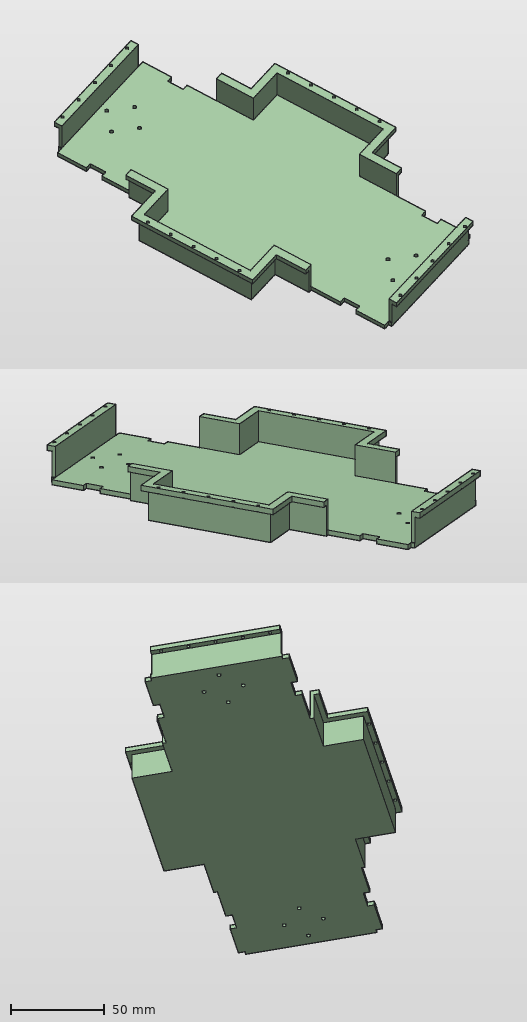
import cadquery as cq

length = 223.0
width = 132.6
height = 20.5

floor_thickness = 3.0
wall = 2.0
rim_overhang = 3.0
rim_thickness = 3.1
rim_width = wall + rim_overhang

inner_x = length / 2 - rim_width
inner_y = width / 2 - rim_width
bay_half = 34.5
body_half = 39.5
wing_end = 58.6
end_wall_half = 35.5
end_tab_half = 35.9

notch_center = 82.7
notch_length = 10.0
notch_depth = body_half - end_tab_half

rim_hole_diameter = 1.5
rim_hole_pitch = 15.0
rim_hole_count = 5
rim_hole_inset = 1.5

mount_hole_diameter = 2.0
mount_center = 91.6
mount_radius = 10.7


def block(x_size, y_size, z_size, bottom=0.0):
    """Box centred on the Z axis, standing on the given height."""
    return cq.Workplane("XY").workplane(offset=bottom).rect(x_size, y_size).extrude(z_size)


def bay_band(thickness, bottom):
    """Stepped strip of the given thickness around both bays and their wings."""
    bay_outer = block(2 * (bay_half + thickness), 2 * (inner_y + thickness), height - bottom, bottom)
    wing_outer = block(2 * wing_end, 2 * (body_half + thickness), height - bottom, bottom)
    bay_inner = block(2 * bay_half, 2 * inner_y, height - bottom, bottom)
    body_inner = block(2 * wing_end, 2 * body_half, height - bottom, bottom)
    return bay_outer.union(wing_outer).cut(bay_inner).cut(body_inner)


def end_bands(thickness, bottom):
    """Straight strips of the given thickness at both ends of the body."""
    outer = block(2 * (inner_x + thickness), 2 * end_wall_half, height - bottom, bottom)
    inner = block(2 * inner_x, 2 * end_wall_half, height - bottom, bottom)
    return outer.cut(inner)


def make_floor():
    body = block(2 * inner_x, 2 * body_half, floor_thickness)
    bays = block(2 * bay_half, 2 * inner_y, floor_thickness)
    end_tabs = block(2 * (inner_x + wall), 2 * end_tab_half, floor_thickness)
    notches = (
        cq.Workplane("XY")
        .pushPoints([(sx * notch_center, sy * body_half) for sx in (-1, 1) for sy in (-1, 1)])
        .rect(notch_length, 2 * notch_depth)
        .extrude(floor_thickness)
    )
    return body.union(bays).union(end_tabs).cut(notches)


def through_holes(points, diameter):
    """Full-height cutters at the given points."""
    return cq.Workplane("XY").pushPoints(points).circle(diameter / 2).extrude(height)


rim_bottom = height - rim_thickness
walls = bay_band(wall, 0).union(end_bands(wall, 0))
rim = bay_band(rim_width, rim_bottom).union(end_bands(rim_width, rim_bottom))

rim_hole_points = []
mount_points = []
for side in (-1, 1):
    for index in range(rim_hole_count):
        along = (index - (rim_hole_count - 1) / 2) * rim_hole_pitch
        rim_hole_points.append((along, side * (width / 2 - rim_hole_inset)))
        rim_hole_points.append((side * (length / 2 - rim_hole_inset), along))
    for offset in (-mount_radius, mount_radius):
        mount_points.append((side * mount_center + offset, 0))
        mount_points.append((side * mount_center, offset))

result = (
    make_floor()
    .union(walls)
    .union(rim)
    .cut(through_holes(rim_hole_points, rim_hole_diameter))
    .cut(through_holes(mount_points, mount_hole_diameter))
)